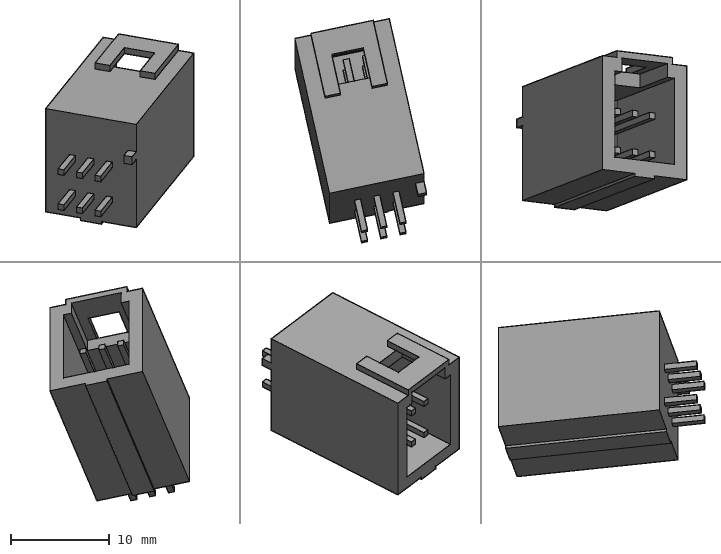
import cadquery as cq

body_width = 9.8
body_length = 16.6
body_height = 11.8
wall = 1.43
cavity_depth = 11.94

latch_width = 6.47
latch_length = 6.77
latch_height = 0.7
latch_bar = 2.6
slot_width = 3.26
notch_width = 5.25
notch_length = 5.63

rib_width = 2.29
rib_height = 0.3

pin_size = 0.64
pin_pitch = 1.99
pin_columns = 3
pin_row_heights = (2.7, 6.7)
pin_tail = 19.9 - body_length
pin_tip_recess = 1.99

peg_size = 0.9
peg_length = 1.2
peg_base = 7.78


def block(width, y_start, y_end, z_start, z_end, x_centre=0.0):
    """Rectangular block spanning the given Y and Z ranges."""
    box = cq.Workplane("XY").box(width, y_end - y_start, z_end - z_start, centered=(True, False, False))
    return box.translate((x_centre, y_start, z_start))


def make_housing():
    """Shell open at the front, with a notch in the front of its roof."""
    shell = block(body_width, 0, body_length, 0, body_height)
    cavity = block(body_width - 2 * wall, body_length - cavity_depth, body_length, wall, body_height - wall)
    notch = block(notch_width, body_length - notch_length, body_length, body_height - wall, body_height)
    return shell.cut(cavity).cut(notch)


def make_latch():
    """U-shaped frame whose front bar bridges the roof notch."""
    latch_rear = body_length - latch_length
    latch_top = body_height + latch_height
    frame = block(latch_width, latch_rear, body_length, body_height, latch_top)
    slot = block(slot_width, latch_rear, body_length - latch_bar, body_height, latch_top)
    return frame.cut(slot)


def make_pin(x, z):
    """Square pin from the rear tail to a tip inside the cavity."""
    tip = body_length - pin_tip_recess
    return block(pin_size, -pin_tail, tip, z - pin_size / 2, z + pin_size / 2, x)


rib = block(rib_width, 0, body_length, -rib_height, 0)
peg = block(peg_size, -peg_length, 0, peg_base, peg_base + peg_size, (body_width - peg_size) / 2)

result = make_housing().union(make_latch()).union(rib).union(peg)
for row_height in pin_row_heights:
    for column in range(pin_columns):
        pin_x = (column - (pin_columns - 1) / 2) * pin_pitch
        result = result.union(make_pin(pin_x, row_height))